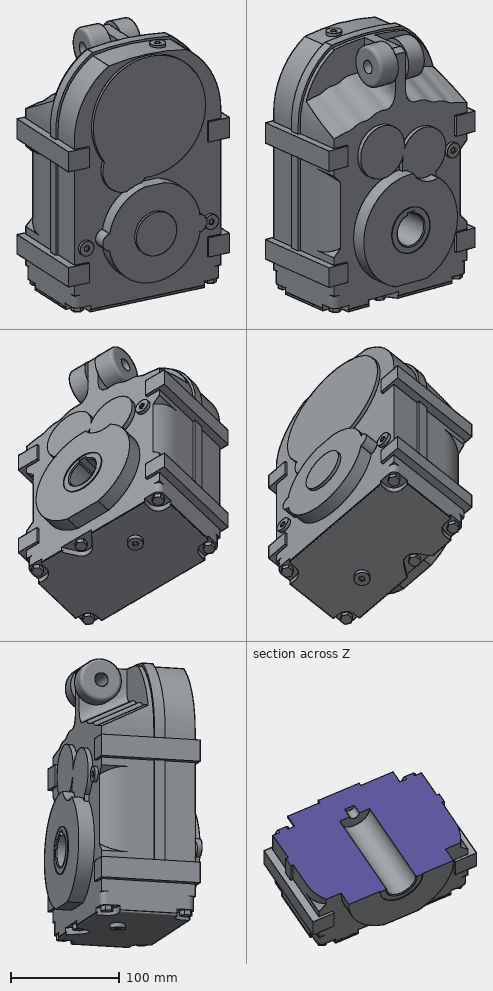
import cadquery as cq
import math


length = 90.5
half_width = 78.2
dome_z = 103.5
shoulder_y = 41.5
crown_z = 173.5
cover_top_z = -69.0
cover_thickness = 2.5
base_z = cover_top_z - cover_thickness
cover_round = 1.15

flange_x = 50.3
flange_thickness = 10.2
flange_overhang = 2.5
flange_crown_z = 175.5
flange_base_z = -30.5

bar_x = -2.5
bar_length = 95.5
bar_inner_y = 63.8
overall_width = 172.0
bar_outer_y = overall_width / 2
upper_bar_z = (74.0, 94.0)
lower_bar_z = (-40.6, -21.3)

recess_depth = 46.0
recess_rise = 22.0
arm_half = 6.0
arm_fillet_width = 10.2
arm_fillet_height = 14.2
ripple_top_z = 118.4
ripple_start_y = 22.0
ripple_width = 21.3
ripple_drop = 5.8
ripple_count = 2

eye_x = 15.5
eye_z = 158.0
eye_radius = 20.0
eye_half_length = 26.2
eye_round = 3.3
eye_hole_radius = 6.4
arm_chamfer_x = 7.5
arm_chamfer_z = 3.3

hollow_length = 24.5
hollow_depth = 7.5
hollow_z = (-14.0, 66.5)

hub_x = (-16.0, 107.0)
hub_radius = 22.4
hub_end_radius = 21.5
bore_radius = 15.5
bore_depth = 91.5
bore_chamfer = 1.0
keyway_width = 8.1
keyway_top_z = 18.3
center_hole_radius = 4.8
center_hole_depth = 10.2

disc_height = 15.2
disc_radius = 55.0
disc_flat_z = -52.0
cap_height = 4.5
big_cap_y, big_cap_z, big_cap_radius = 24.5, 79.2, 26.0
small_cap_y, small_cap_z, small_cap_radius = -24.6, 67.3, 25.1
small_cap_recess_radius = 24.5
web_y = (-38.0, 1.3)
web_base_z = 38.9

back_disc_height = 13.5
back_disc_radius = 49.0
back_flat_half = 10.5
back_ear_y = 47.0
back_ear_radius = 8.6
back_cap_height = 3.3
motor_cap_z, motor_cap_radius = 112.3, 60.0

plug_radius = 7.4
plug_height = 3.3
socket_width = 5.8
socket_depth = 2.0
drain_height = 4.3
level_plug_y, level_plug_z = -60.0, 61.2
breather_x, breather_y, breather_base_z = 74.2, 20.0, 172.0
drain_x, drain_y = 31.5, -25.1
back_plug_y, back_plug_z = 66.5, -6.0

corner_top_z = -52.3
corner_radius = 6.0
pocket_top_z = -65.0
pocket_radius = 10.5
bolt_inset = 7.0
bolt_head_width = 11.7
bolt_head_height = 4.5
middle_bolt_y = 19.5
middle_pocket_half = 17.5
middle_arc_half = 8.6

overlap = 2.5


def box(x_range, y_range, z_range):
    size = [end - start for start, end in (x_range, y_range, z_range)]
    return cq.Workplane("XY").box(*size, centered=False).translate((x_range[0], y_range[0], z_range[0]))


def disc(x_start, x_end, radius, y=0, z=0):
    return cq.Workplane("YZ", origin=(x_start, y, z)).circle(radius).extrude(x_end - x_start)


def dome_plate(x_start, thickness, half, crown, base):
    """Plate with straight sides, a round dome and a flatter crown."""
    shoulder_z = dome_z + math.sqrt(half**2 - shoulder_y**2)
    middle_y = (half + shoulder_y) / 2
    middle_z = dome_z + math.sqrt(half**2 - middle_y**2)
    return (
        cq.Workplane("YZ", origin=(x_start, 0, 0))
        .moveTo(-half, base)
        .lineTo(half, base)
        .lineTo(half, dome_z)
        .threePointArc((middle_y, middle_z), (shoulder_y, shoulder_z))
        .threePointArc((0, crown), (-shoulder_y, shoulder_z))
        .threePointArc((-middle_y, middle_z), (-half, dome_z))
        .close()
        .extrude(thickness)
    )


def bottom_cover():
    """Bottom plate with rounded upper and lower outer edges."""
    plate = box((0, length), (-half_width, half_width), (base_z, cover_top_z))
    return plate.faces("<Z or >Z").edges().fillet(cover_round)


def recess_cutter():
    """One half of the recess: a rippled outline pushed up along a slope."""
    quarter_width = ripple_width / 2
    quarter_drop = ripple_drop / 2
    ripple_radius = (quarter_width**2 + quarter_drop**2) / (2 * quarter_drop)
    half_angle = math.asin(quarter_width / ripple_radius) / 2
    bulge_y = ripple_radius * math.sin(half_angle)
    bulge_z = ripple_radius * (1 - math.cos(half_angle))
    outer_y = half_width + 2 * overlap
    roof_z = crown_z + 2 * overlap

    outline = (
        cq.Workplane("YZ")
        .moveTo(arm_half, roof_z)
        .lineTo(arm_half, ripple_top_z + arm_fillet_height)
        .ellipseArc(arm_fillet_width, arm_fillet_height, 180, 270, sense=1)
        .lineTo(ripple_start_y, ripple_top_z)
    )
    for step in range(ripple_count):
        y = ripple_start_y + step * ripple_width
        z = ripple_top_z - step * ripple_drop
        end_y = y + ripple_width
        end_z = z - ripple_drop
        outline = outline.threePointArc(
            (y + bulge_y, z - bulge_z), (y + quarter_width, z - quarter_drop)
        ).threePointArc((end_y - bulge_y, end_z + bulge_z), (end_y, end_z))
    slope = (dome_z - end_z) / (half_width - end_y)
    outline = (
        outline.lineTo(outer_y, end_z + slope * (outer_y - end_y))
        .lineTo(outer_y, roof_z)
        .close()
    )
    push = cq.Vector(recess_depth, 0, recess_rise)
    return cq.Workplane(cq.Solid.extrudeLinear(outline.val(), [], push))


def hollow_cutter():
    """Material to remove from the +Y side to leave a rounded edge with sloped ends."""
    radius = (hollow_length**2 + hollow_depth**2) / (2 * hollow_depth)
    half_angle = math.asin(hollow_length / radius) / 2
    rounding = (
        cq.Workplane("XY", origin=(0, 0, hollow_z[0]))
        .moveTo(0, half_width)
        .lineTo(0, half_width - hollow_depth)
        .threePointArc(
            (
                hollow_length - radius * math.sin(half_angle),
                half_width - radius * (1 - math.cos(half_angle)),
            ),
            (hollow_length, half_width),
        )
        .close()
        .extrude(hollow_z[1] - hollow_z[0])
    )
    sloped_ends = (
        cq.Workplane("YZ")
        .polyline(
            [
                (half_width, hollow_z[0]),
                (half_width - hollow_depth, hollow_z[0] + hollow_depth),
                (half_width - hollow_depth, hollow_z[1] - hollow_depth),
                (half_width, hollow_z[1]),
            ]
        )
        .close()
        .extrude(hollow_length)
    )
    return rounding.intersect(sloped_ends)


def both_sides(body):
    return body.union(body.mirror("XZ"))


def corner_cutter(x, y):
    """Bolt pocket and the rounded edge above it, at the bottom corner (x, y)."""
    x_in = 1 if x == 0 else -1
    y_in = 1 if y < 0 else -1
    bolt_x = x + x_in * bolt_inset
    bolt_y = y + y_in * bolt_inset
    wall_x = bolt_x + x_in * pocket_radius
    wall_y = bolt_y + y_in * pocket_radius
    out_x = x - x_in * overlap
    out_y = y - y_in * overlap
    diagonal = pocket_radius * math.sqrt(0.5)
    pocket = (
        cq.Workplane("XY", origin=(0, 0, base_z))
        .moveTo(out_x, out_y)
        .lineTo(wall_x, out_y)
        .lineTo(wall_x, bolt_y)
        .threePointArc((bolt_x + x_in * diagonal, bolt_y + y_in * diagonal), (bolt_x, wall_y))
        .lineTo(out_x, wall_y)
        .close()
        .extrude(pocket_top_z - base_z)
    )
    gap = corner_radius * (1 - math.sqrt(0.5))
    rounding = (
        cq.Workplane("XY", origin=(0, 0, base_z))
        .moveTo(x, y)
        .lineTo(x + x_in * corner_radius, y)
        .threePointArc((x + x_in * gap, y + y_in * gap), (x, y + y_in * corner_radius))
        .close()
        .extrude(corner_top_z - base_z)
    )
    return pocket.union(rounding)


def middle_pocket():
    """Flared bolt pocket in the bottom of the -X face."""
    arc_x = bolt_inset + math.sqrt(pocket_radius**2 - middle_arc_half**2)
    return (
        cq.Workplane("XY", origin=(0, middle_bolt_y, base_z))
        .moveTo(0, -middle_pocket_half)
        .lineTo(arc_x, -middle_arc_half)
        .threePointArc((bolt_inset + pocket_radius, 0), (arc_x, middle_arc_half))
        .lineTo(0, middle_pocket_half)
        .close()
        .extrude(pocket_top_z - base_z)
    )


def bolt_head(x, y):
    head = cq.Workplane("XY").polygon(6, bolt_head_width).extrude(bolt_head_height + overlap)
    return head.translate((x, y, pocket_top_z - bolt_head_height))


def screw_plug(base, outward, height):
    """Round plug with a hexagon socket; it starts a little inside the housing."""
    plane = cq.Plane(origin=base, normal=outward)
    plug = cq.Workplane(plane).workplane(offset=-overlap).circle(plug_radius).extrude(height + overlap)
    socket = (
        cq.Workplane(plane)
        .workplane(offset=height - socket_depth)
        .polygon(6, socket_width)
        .extrude(socket_depth)
    )
    return plug.cut(socket)


def eye_boss():
    """Boss on the +Y side of the arm, rounded at its outer end."""
    return (
        cq.Workplane("XZ", origin=(eye_x, eye_half_length, eye_z))
        .circle(eye_radius)
        .extrude(eye_half_length - arm_half)
        .faces(">Y")
        .edges()
        .fillet(eye_round)
    )


def front_covers():
    """Shaft disc, two overlapping caps and their web on the -X face."""
    plate = disc(-disc_height, overlap, disc_radius)
    below_flat = box((-disc_height, overlap), (-disc_radius, disc_radius), (-disc_radius, disc_flat_z))
    small_cap_room = disc(-disc_height, 0, small_cap_recess_radius, small_cap_y, small_cap_z)
    plate = plate.cut(below_flat).cut(small_cap_room)
    big_cap = disc(-cap_height, overlap, big_cap_radius, big_cap_y, big_cap_z)
    small_cap = disc(-cap_height, overlap, small_cap_radius, small_cap_y, small_cap_z)
    web = box((-cap_height, overlap), web_y, (web_base_z, small_cap_z - overlap))
    return plate.union(big_cap).union(small_cap).union(web)


def back_covers():
    """Shaft disc with two ears and two flat caps on the +X face."""
    start = length - overlap
    disc_end = length + back_disc_height
    cap_end = length + back_cap_height
    flat_z = math.sqrt(back_disc_radius**2 - back_flat_half**2)
    above_flat = box((start, disc_end), (-back_flat_half, back_flat_half), (flat_z, back_disc_radius))
    plate = disc(start, disc_end, back_disc_radius).cut(above_flat)
    for y in (-back_ear_y, back_ear_y):
        plate = plate.union(disc(start, disc_end, back_ear_radius, y))
    motor_cap = disc(start, cap_end, motor_cap_radius, 0, motor_cap_z)
    small_cap = disc(start, cap_end, small_cap_radius, small_cap_y, small_cap_z)
    return plate.union(motor_cap).union(small_cap)


def shaft_hub():
    middle = length / 2
    return disc(hub_x[0], middle, hub_radius).union(disc(middle, hub_x[1], hub_end_radius))


def shaft_bore():
    """Blind keyed bore with a chamfered mouth and a small center hole at its end."""
    mouth_x = hub_x[0]
    bore_end = mouth_x + bore_depth
    bore = disc(mouth_x, bore_end, bore_radius)
    mouth = cq.Workplane(
        cq.Solid.makeCone(
            bore_radius + bore_chamfer,
            bore_radius,
            bore_chamfer,
            pnt=cq.Vector(mouth_x, 0, 0),
            dir=cq.Vector(1, 0, 0),
        )
    )
    keyway = box((mouth_x, bore_end), (-keyway_width / 2, keyway_width / 2), (0, keyway_top_z))
    center_hole = disc(bore_end, bore_end + center_hole_depth, center_hole_radius)
    return bore.union(mouth).union(keyway).union(center_hole)


housing = dome_plate(0, length, half_width, crown_z, cover_top_z)
housing = housing.union(bottom_cover())
housing = housing.cut(both_sides(recess_cutter())).cut(both_sides(hollow_cutter()))
arm_tip = (
    cq.Workplane("XZ", origin=(0, arm_half, 0))
    .polyline([(0, crown_z), (arm_chamfer_x, crown_z), (0, crown_z - arm_chamfer_z)])
    .close()
    .extrude(2 * arm_half)
)
housing = housing.cut(arm_tip)

for corner_x in (0, length):
    for corner_y in (-half_width, half_width):
        housing = housing.cut(corner_cutter(corner_x, corner_y))
housing = housing.cut(middle_pocket()).union(bolt_head(bolt_inset, middle_bolt_y))
for bolt_x in (bolt_inset, length - bolt_inset):
    for bolt_y in (bolt_inset - half_width, half_width - bolt_inset):
        housing = housing.union(bolt_head(bolt_x, bolt_y))

flange = dome_plate(
    flange_x, flange_thickness, half_width + flange_overhang, flange_crown_z, flange_base_z
)
housing = housing.union(flange)
for bar_z in (upper_bar_z, lower_bar_z):
    bar = box((bar_x, bar_x + bar_length), (bar_inner_y, bar_outer_y), bar_z)
    housing = housing.union(both_sides(bar))
eye_hole = (
    cq.Workplane("XZ", origin=(eye_x, eye_half_length, eye_z))
    .circle(eye_hole_radius)
    .extrude(2 * eye_half_length)
)
housing = housing.union(both_sides(eye_boss())).cut(eye_hole)

housing = housing.union(front_covers()).union(back_covers())
housing = housing.union(shaft_hub()).cut(shaft_bore())

plugs = [
    ((0, level_plug_y, level_plug_z), (-1, 0, 0), plug_height),
    ((breather_x, breather_y, breather_base_z), (0, 0, 1), plug_height),
    ((drain_x, drain_y, base_z), (0, 0, -1), drain_height),
    ((length, -back_plug_y, back_plug_z), (1, 0, 0), plug_height),
    ((length, back_plug_y, back_plug_z), (1, 0, 0), plug_height),
]
for plug_base, plug_outward, plug_rise in plugs:
    housing = housing.union(screw_plug(plug_base, plug_outward, plug_rise))

result = housing